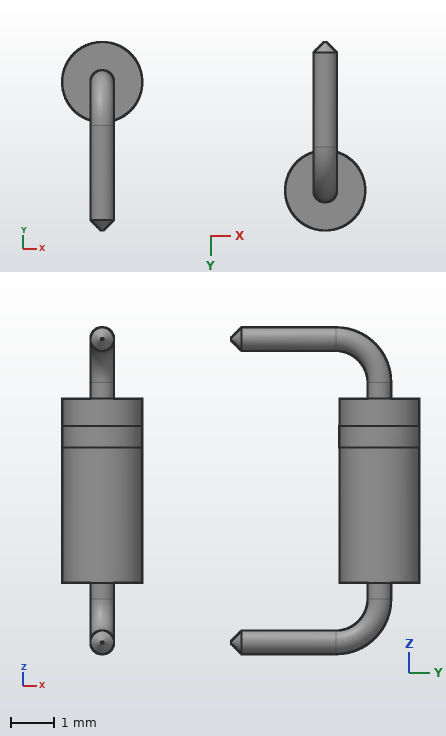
import cadquery as cq


total_height = 7.55
band_diameter = 1.86
depth = 4.36

housing_diameter = 1.85
housing_length = 4.25

band_width = 0.5
band_top_gap = 0.635

wire_diameter = 0.55
bend_radius = 1.005
tip_chamfer = 0.25

wire_radius = wire_diameter / 2
arm_height = total_height / 2 - wire_radius
tip_y = band_diameter / 2 - depth
bend_start_z = arm_height - bend_radius
housing_bottom = -housing_length / 2
band_bottom = housing_length / 2 - band_top_gap - band_width


def make_housing():
    """Cylinder with an axial bore that holds the wire."""
    return (
        cq.Workplane("XY", origin=(0, 0, housing_bottom))
        .circle(housing_diameter / 2)
        .circle(wire_radius)
        .extrude(housing_length)
    )


def make_band():
    """Thin ring fitted around the housing."""
    return (
        cq.Workplane("XY", origin=(0, 0, band_bottom))
        .circle(band_diameter / 2)
        .circle(housing_diameter / 2)
        .extrude(band_width)
    )


def make_lead():
    """One wire through the housing, bent at both ends and pointed at both tips."""
    path = (
        cq.Workplane("YZ")
        .moveTo(tip_y, -arm_height)
        .lineTo(-bend_radius, -arm_height)
        .tangentArcPoint((0, -bend_start_z), relative=False)
        .lineTo(0, bend_start_z)
        .tangentArcPoint((-bend_radius, arm_height), relative=False)
        .lineTo(tip_y, arm_height)
    )
    wire = cq.Workplane("XZ", origin=(0, tip_y, -arm_height)).circle(wire_radius).sweep(path)
    return wire.faces("<Y").chamfer(tip_chamfer).solids()


housing = make_housing()
band = make_band()
lead = make_lead()

result = cq.Compound.makeCompound([housing.val(), band.val(), lead.val()])